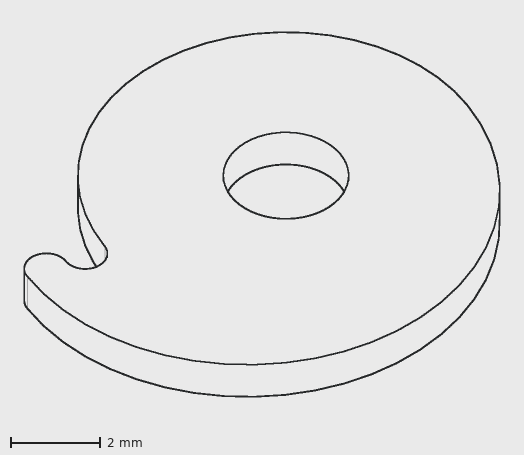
import cadquery as cq

overall_height = 11.3
thickness = 1.0
hook_width = 1.0
hole_diameter = 2.8

large_radius = overall_height / 2
small_radius = large_radius - hook_width
hook_radius = hook_width / 2

top_y = small_radius
notch_top_y = -small_radius
notch_bottom_y = notch_top_y - hook_width
hook_bottom_y = notch_bottom_y - hook_width
large_center_y = top_y - large_radius

outline = (
    cq.Workplane("XY")
    .moveTo(0, top_y)
    .threePointArc((-small_radius, 0), (0, notch_top_y))
    .threePointArc((hook_radius, notch_top_y - hook_radius), (0, notch_bottom_y))
    .threePointArc((-hook_radius, notch_bottom_y - hook_radius), (0, hook_bottom_y))
    .threePointArc((large_radius, large_center_y), (0, top_y))
    .close()
)
plate = outline.extrude(thickness)

hole = cq.Workplane("XY").circle(hole_diameter / 2).extrude(thickness)
result = plate.cut(hole)